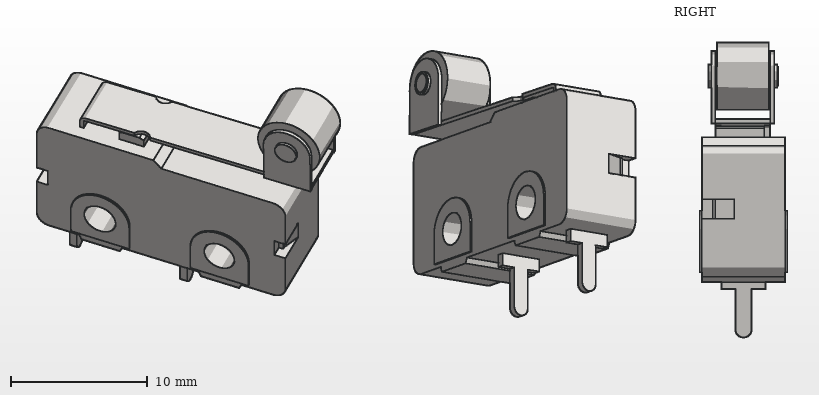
import cadquery as cq
import math


HOUSING_LENGTH = 19.8
HOUSING_HEIGHT = 10.2
HOUSING_THICKNESS = 6.1
CORNER_RADIUS = 1.0
SHOULDER_DROP = 0.62
SLOPE_START_X = 9.3
HALF_THICKNESS = HOUSING_THICKNESS / 2
SHOULDER_HEIGHT = HOUSING_HEIGHT - SHOULDER_DROP

HOLE_Z = 2.5
HOLES = [(5.1, 2.5), (14.6, 2.4)]
PAD_RADIUS = 2.32
PAD_HEIGHT = 0.15
PAD_BOTTOM_Z = 0.31
FOOT_TOP_WIDTH = 3.4
FOOT_BOTTOM_WIDTH = 3.05
FOOT_HEIGHT = 0.4

LATCH_BOTTOM_Z = 4.21
LATCH_HEIGHT = 1.45
LATCH_DEPTH = 0.88
RAMP_DEPTH = 0.53
RAMP_START_Y = -0.66
RAMP_END_Y = -2.06
LATCH_STEP_Y = -2.23

TERMINAL_XS = [1.86, 10.63]
TERMINAL_THICKNESS = 0.58
TERMINAL_LENGTH = 4.46
TERMINAL_SHOULDER_WIDTH = 3.24
TERMINAL_SHOULDER_LENGTH = 0.92
TERMINAL_PIN_WIDTH = 1.2
EMBED = 0.5

PLUNGER_LEFT_X = 6.13
PLUNGER_WIDTH = 1.97
PLUNGER_TOP_Z = 10.98
PLUNGER_FRONT_Y = -2.05
PLUNGER_BACK_Y = 1.5
PLUNGER_CHAMFER_RUN = 0.35
PLUNGER_CHAMFER_DROP = 0.14

SHEET = 0.3
LEVER_Y = -0.05
LEVER_WIDTH = 4.0
LEVER_LEFT_X = 3.0
LEVER_TOP_Z = 11.28
LEVER_TILT = 0.75
BEND_RADIUS = 0.5
NOTCH_X = 7.98
NOTCH_RADIUS = 0.69
NOTCH_DEPTH = 0.4
ROLLER_X = 19.6
ROLLER_Z = 14.65
ROLLER_DIAMETER = 4.92
ROLLER_WIDTH = 3.8
FORK_RADIUS = 1.85
AXLE_DIAMETER = 1.4
AXLE_HEAD_DIAMETER = 1.7
AXLE_HEAD_LENGTH = 0.22
AXLE_TAIL = 0.06


def extrude_across(profile, y_center, width):
    """Extrude an XZ profile over a width centred on y_center."""
    return profile.extrude(width).translate((0, y_center + width / 2, 0))


def cylinder_across(x, z, diameter, y_center, length):
    profile = cq.Workplane("XZ").center(x, z).circle(diameter / 2)
    return extrude_across(profile, y_center, length)


def make_housing():
    outline = [
        (0, 0),
        (HOUSING_LENGTH, 0),
        (HOUSING_LENGTH, SHOULDER_HEIGHT),
        (SLOPE_START_X + SHOULDER_DROP, SHOULDER_HEIGHT),
        (SLOPE_START_X, HOUSING_HEIGHT),
        (0, HOUSING_HEIGHT),
    ]
    profile = cq.Workplane("XZ").polyline(outline).close()
    block = extrude_across(profile, 0, HOUSING_THICKNESS)
    return block.edges("|Y and (<X or >X)").fillet(CORNER_RADIUS)


def make_pad(x):
    """Round-topped raised pad on both faces of the housing."""
    profile = (
        cq.Workplane("XZ")
        .moveTo(x - PAD_RADIUS, PAD_BOTTOM_Z)
        .lineTo(x + PAD_RADIUS, PAD_BOTTOM_Z)
        .lineTo(x + PAD_RADIUS, HOLE_Z)
        .threePointArc((x, HOLE_Z + PAD_RADIUS), (x - PAD_RADIUS, HOLE_Z))
        .close()
    )
    return extrude_across(profile, 0, HOUSING_THICKNESS + 2 * PAD_HEIGHT)


def make_foot(x):
    outline = [
        (x - FOOT_TOP_WIDTH / 2, 0),
        (x - FOOT_BOTTOM_WIDTH / 2, -FOOT_HEIGHT),
        (x + FOOT_BOTTOM_WIDTH / 2, -FOOT_HEIGHT),
        (x + FOOT_TOP_WIDTH / 2, 0),
    ]
    profile = cq.Workplane("XZ").polyline(outline).close()
    return extrude_across(profile, 0, HOUSING_THICKNESS)


def make_latch_recess():
    """Recess at the left end: a ramp, a step and a deeper pocket to the front."""
    outline = [
        (0, RAMP_START_Y),
        (RAMP_DEPTH, RAMP_END_Y),
        (RAMP_DEPTH, LATCH_STEP_Y),
        (LATCH_DEPTH, LATCH_STEP_Y),
        (LATCH_DEPTH, -HALF_THICKNESS),
        (0, -HALF_THICKNESS),
    ]
    floor = cq.Workplane("XY").workplane(offset=LATCH_BOTTOM_Z)
    return floor.polyline(outline).close().extrude(LATCH_HEIGHT)


def make_terminal(x):
    """Flat pin with a wide shoulder and a round tip."""
    shoulder_height = TERMINAL_SHOULDER_LENGTH + EMBED
    shoulder = cq.Workplane("YZ").rect(TERMINAL_SHOULDER_WIDTH, shoulder_height)
    shoulder = shoulder.extrude(TERMINAL_THICKNESS / 2, both=True)
    shoulder = shoulder.translate((0, 0, EMBED - shoulder_height / 2))
    pin_half = TERMINAL_PIN_WIDTH / 2
    tip_start_z = pin_half - TERMINAL_LENGTH
    pin = (
        cq.Workplane("YZ")
        .moveTo(pin_half, 0)
        .lineTo(-pin_half, 0)
        .lineTo(-pin_half, tip_start_z)
        .threePointArc((0, -TERMINAL_LENGTH), (pin_half, tip_start_z))
        .close()
        .extrude(TERMINAL_THICKNESS / 2, both=True)
    )
    return shoulder.union(pin).translate((x, 0, 0))


def make_plunger():
    right_x = PLUNGER_LEFT_X + PLUNGER_WIDTH
    side_top_z = PLUNGER_TOP_Z - PLUNGER_CHAMFER_DROP
    base_z = HOUSING_HEIGHT - EMBED
    outline = [
        (PLUNGER_LEFT_X, base_z),
        (right_x, base_z),
        (right_x, side_top_z),
        (right_x - PLUNGER_CHAMFER_RUN, PLUNGER_TOP_Z),
        (PLUNGER_LEFT_X + PLUNGER_CHAMFER_RUN, PLUNGER_TOP_Z),
        (PLUNGER_LEFT_X, side_top_z),
    ]
    profile = cq.Workplane("XZ").polyline(outline).close()
    y_center = (PLUNGER_FRONT_Y + PLUNGER_BACK_Y) / 2
    return extrude_across(profile, y_center, PLUNGER_BACK_Y - PLUNGER_FRONT_Y)


def make_lever():
    """Sheet strip: a vertical leg in the housing, a bend and a long tilted arm."""
    rise = math.tan(math.radians(LEVER_TILT))
    leg_bottom_z = HOUSING_HEIGHT - EMBED
    end_x = ROLLER_X + FORK_RADIUS
    end_z = LEVER_TOP_Z + rise * (end_x - LEVER_LEFT_X)
    inner_x = LEVER_LEFT_X + SHEET
    inner_z = LEVER_TOP_Z - SHEET + rise * SHEET
    outline = [
        (LEVER_LEFT_X, leg_bottom_z),
        (LEVER_LEFT_X, LEVER_TOP_Z),
        (end_x, end_z),
        (end_x, end_z - SHEET),
        (inner_x, inner_z),
        (inner_x, leg_bottom_z),
    ]
    profile = cq.Workplane("XZ").polyline(outline).close()
    lever = extrude_across(profile, LEVER_Y, LEVER_WIDTH)
    outer_bend = cq.selectors.NearestToPointSelector((LEVER_LEFT_X, LEVER_Y, LEVER_TOP_Z))
    lever = lever.edges("|Y").edges(outer_bend).fillet(BEND_RADIUS)
    inner_bend = cq.selectors.NearestToPointSelector((inner_x, LEVER_Y, inner_z))
    lever = lever.edges("|Y").edges(inner_bend).fillet(BEND_RADIUS - SHEET)

    notch_offset = LEVER_WIDTH / 2 - NOTCH_DEPTH + NOTCH_RADIUS
    for side in (-1, 1):
        notch = cq.Workplane("XY").workplane(offset=HOUSING_HEIGHT)
        notch = notch.center(NOTCH_X, LEVER_Y + side * notch_offset).circle(NOTCH_RADIUS)
        lever = lever.cut(notch.extrude(LEVER_TOP_Z))
    return lever


def make_fork():
    """Two round-topped cheeks outside the lever, tilted with it."""
    arm_rise = math.tan(math.radians(LEVER_TILT)) * (ROLLER_X - LEVER_LEFT_X)
    bottom_z = LEVER_TOP_Z + arm_rise - SHEET
    left_x = ROLLER_X - FORK_RADIUS
    right_x = ROLLER_X + FORK_RADIUS
    profile = (
        cq.Workplane("XZ")
        .moveTo(left_x, bottom_z)
        .lineTo(right_x, bottom_z)
        .lineTo(right_x, ROLLER_Z)
        .threePointArc((ROLLER_X, ROLLER_Z + FORK_RADIUS), (left_x, ROLLER_Z))
        .close()
    )
    gap = cq.Workplane("XY").box(HOUSING_LENGTH, LEVER_WIDTH, HOUSING_LENGTH)
    gap = gap.translate((ROLLER_X, LEVER_Y, ROLLER_Z))
    fork = extrude_across(profile, LEVER_Y, LEVER_WIDTH + 2 * SHEET).cut(gap)
    axis_start = (ROLLER_X, 0, ROLLER_Z)
    axis_end = (ROLLER_X, 1, ROLLER_Z)
    return fork.rotate(axis_start, axis_end, -LEVER_TILT)


def make_roller():
    """Roller on its axle, with a head outside each cheek and a short tail at the back."""
    fork_width = LEVER_WIDTH + 2 * SHEET
    roller = cylinder_across(ROLLER_X, ROLLER_Z, ROLLER_DIAMETER, LEVER_Y, ROLLER_WIDTH)
    axle_extension = AXLE_HEAD_LENGTH + AXLE_TAIL
    axle_length = fork_width + axle_extension
    axle_center_y = LEVER_Y + axle_extension / 2
    axle = cylinder_across(ROLLER_X, ROLLER_Z, AXLE_DIAMETER, axle_center_y, axle_length)
    assembly = roller.union(axle)
    head_offset = (fork_width + AXLE_HEAD_LENGTH) / 2
    for side in (-1, 1):
        head_y = LEVER_Y + side * head_offset
        head = cylinder_across(ROLLER_X, ROLLER_Z, AXLE_HEAD_DIAMETER, head_y, AXLE_HEAD_LENGTH)
        assembly = assembly.union(head)
    return assembly


housing = make_housing()
for hole_x, _ in HOLES:
    housing = housing.union(make_pad(hole_x)).union(make_foot(hole_x))
for hole_x, hole_diameter in HOLES:
    hole_length = HOUSING_THICKNESS + 2 * PAD_HEIGHT
    housing = housing.cut(cylinder_across(hole_x, HOLE_Z, hole_diameter, 0, hole_length))

left_recess = make_latch_recess()
right_recess = left_recess.mirror("YZ").translate((HOUSING_LENGTH, 0, 0))
housing = housing.cut(left_recess).cut(right_recess)

for terminal_x in TERMINAL_XS:
    housing = housing.union(make_terminal(terminal_x))

lever_assembly = make_lever().union(make_fork()).union(make_roller())
result = housing.union(make_plunger()).union(lever_assembly)